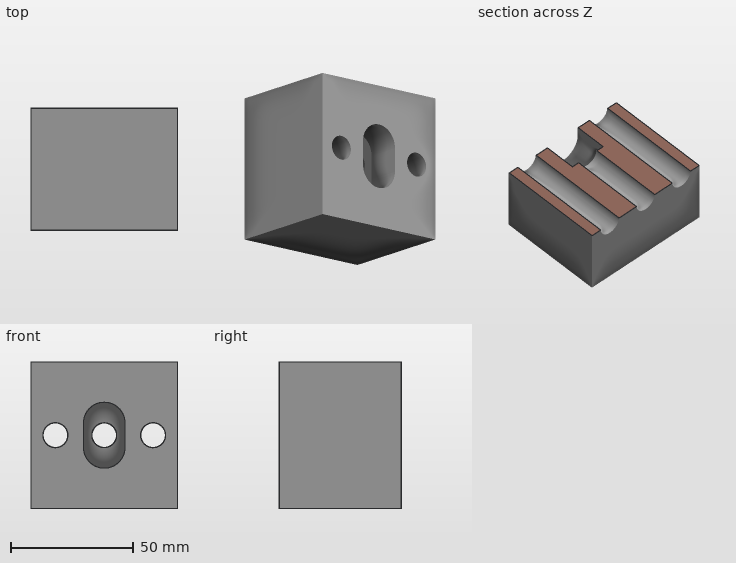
import cadquery as cq

width = 60.0
depth = 50.0
height = 60.0

side_hole_diameter = 10.1
centre_hole_diameter = 10.0
hole_spacing = 20.0

slot_width = 17.0
slot_length = 27.0
slot_depth = 15.0


def front_face_plane():
    """Work plane on the front face; negative extrusions run into the block."""
    return cq.Workplane("XZ", origin=(0, -depth / 2, 0))


def through_hole(x, diameter):
    return front_face_plane().center(x, 0).circle(diameter / 2).extrude(-depth)


def front_slot():
    return front_face_plane().slot2D(slot_length, slot_width, 90).extrude(-slot_depth)


result = cq.Workplane("XY").box(width, depth, height)
result = result.cut(through_hole(0, centre_hole_diameter))
for side in (-1, 1):
    result = result.cut(through_hole(side * hole_spacing, side_hole_diameter))
result = result.cut(front_slot())